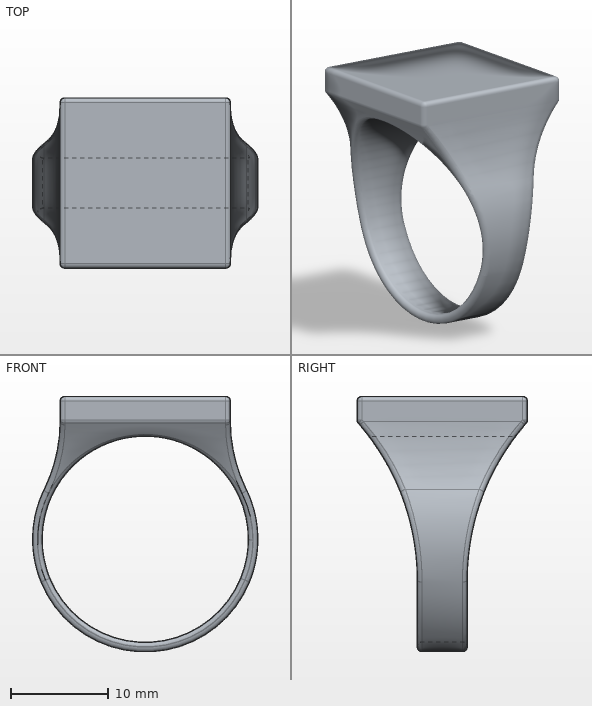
import cadquery as cq
import math

head_width = 17.47
head_top = 14.65
head_bottom = 12.05
band_radius = 11.55
bore_radius = 10.55
band_width = 5.13
flare_start = -4.2
edge_radius = 0.5
rim_radius = 0.47
tolerance = 0.003

head_half = head_width / 2
band_half = band_width / 2


def front_outline():
    """Round band whose shoulders sweep up, tangent to it, into the head sides."""
    shoulder_radius = (head_half**2 + head_bottom**2 - band_radius**2) / (2 * (band_radius - head_half))
    center_x = head_half + shoulder_radius
    touch_angle = math.atan2(head_bottom, center_x)
    touch_x = band_radius * math.cos(touch_angle)
    touch_z = band_radius * math.sin(touch_angle)
    mid_x = center_x - shoulder_radius * math.cos(touch_angle / 2)
    mid_z = head_bottom - shoulder_radius * math.sin(touch_angle / 2)
    return (
        cq.Workplane("XZ")
        .moveTo(-head_half, head_top)
        .lineTo(-head_half, head_bottom)
        .threePointArc((-mid_x, mid_z), (-touch_x, touch_z))
        .threePointArc((0, -band_radius), (touch_x, touch_z))
        .threePointArc((mid_x, mid_z), (head_half, head_bottom))
        .lineTo(head_half, head_top)
        .close()
        .extrude(head_width, both=True)
    )


def side_outline():
    """Straight band, then arcs widening to the head, with the head corners rounded."""
    rise = head_bottom - flare_start
    spread = head_half - band_half
    flare_radius = (rise**2 + spread**2) / (2 * spread)
    half_sweep = math.asin(rise / flare_radius) / 2
    mid_y = band_half + flare_radius * (1 - math.cos(half_sweep))
    mid_z = flare_start + flare_radius * math.sin(half_sweep)
    outline = (
        cq.Workplane("YZ")
        .moveTo(-band_half, -head_width)
        .lineTo(band_half, -head_width)
        .lineTo(band_half, flare_start)
        .threePointArc((mid_y, mid_z), (head_half, head_bottom))
        .lineTo(head_half, head_top)
        .lineTo(-head_half, head_top)
        .lineTo(-head_half, head_bottom)
        .threePointArc((-mid_y, mid_z), (-band_half, flare_start))
        .close()
        .extrude(head_width, both=True)
    )
    head_corners = outline.edges("|X").edges(
        cq.selectors.BoxSelector(
            (-head_width, -head_width, head_bottom - tolerance),
            (head_width, head_width, head_top + tolerance),
        )
    )
    return head_corners.fillet(edge_radius)


def on_rim(edge):
    """True for the two edges where the bore breaks through the band's flanks."""
    points = [edge.positionAt(fraction) for fraction in (0, 0.25, 0.5, 0.75)]
    on_bore = all(abs(math.hypot(p.x, p.z) - bore_radius) < tolerance for p in points)
    bore_seam = edge.geomType() == "LINE"
    return on_bore and not bore_seam


blank = front_outline().intersect(side_outline())

rounded = blank.edges("|Z").edges("<Y").fillet(edge_radius)

bore = cq.Workplane("XZ").circle(bore_radius).extrude(head_width, both=True)
bored = rounded.cut(bore)
rim = [edge for edge in bored.edges().vals() if on_rim(edge)]
result = bored.newObject(rim).fillet(rim_radius)